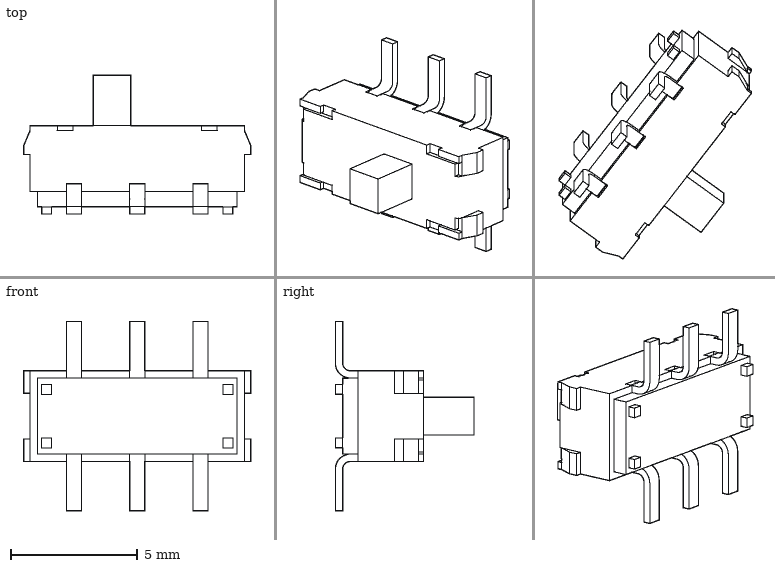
import cadquery as cq
import math


shell_width = 8.5
shell_height = 3.6
shell_depth = 2.61
plate_thickness = 0.3

front_thickness = 0.2
fold_height = 30.2
window_width = 6.32
fold_width = 5.07
front_gap = 0.08
front_height = shell_height - 2 * plate_thickness - 2 * front_gap

overall_width = 9.0
tab_height = 0.9
tab_ramp_end = 0.8
tab_depth = 1.15
end_height = shell_height - 2 * tab_height

base_width = shell_width - 2 * plate_thickness
base_height = shell_height - 2 * plate_thickness
base_depth = 3.21
overall_depth = 3.5
peg_size = 0.4
peg_spacing_x = 7.16
peg_spacing_z = 2.12

terminal_width = 0.6
terminal_thickness = plate_thickness
terminal_pitch = 2.5
terminal_span = 7.5
bend_inner_radius = 0.3
bend_outer_radius = bend_inner_radius + terminal_thickness
notch_depth = 0.32

knob_size = 1.5
knob_length = 2.0
knob_offset = -1.0


def block(width, height, y_back, y_front, x=0, z=0):
    """Box centred on (x, z), reaching from y_back to y_front."""
    depth = y_front - y_back
    return cq.Workplane("XY").box(width, depth, height).translate((x, (y_back + y_front) / 2, z))


def shell_body():
    return block(shell_width, shell_height, -shell_depth, -front_thickness)


def snap_tabs():
    """Ramped wings that stick out of both ends, next to the top and bottom plates."""
    half_shell = shell_width / 2
    half_overall = overall_width / 2
    wings = (
        cq.Workplane("XY")
        .moveTo(-half_shell, -front_thickness)
        .lineTo(half_shell, -front_thickness)
        .lineTo(half_overall, -tab_ramp_end)
        .lineTo(half_overall, -tab_depth)
        .lineTo(-half_overall, -tab_depth)
        .lineTo(-half_overall, -tab_ramp_end)
        .close()
        .extrude(shell_height / 2, both=True)
    )
    middle = block(overall_width, end_height, -tab_depth, -front_thickness)
    return wings.cut(middle)


def front_face():
    """Front sheet folded from the end walls and from the top and bottom plates."""
    end_folds = block(shell_width, end_height, -tab_depth, 0)
    end_folds = end_folds.edges("|Z and >Y").fillet(front_thickness)
    sheet = block(shell_width - 2 * front_thickness, front_height, -front_thickness, 0)
    plate_folds = block(fold_width, shell_height, -front_thickness, 0)
    corner_width = (shell_width - window_width) / 2
    face = end_folds.union(sheet).union(plate_folds)
    for side_x in (-1, 1):
        for side_z in (-1, 1):
            x = side_x * (shell_width - corner_width) / 2
            z = side_z * (shell_height - plate_thickness) / 2
            face = face.union(block(corner_width, plate_thickness, -front_thickness, 0, x, z))
    return face


def base():
    """Base block with a locating peg near each corner."""
    body = block(base_width, base_height, -base_depth, -shell_depth)
    for side_x in (-1, 1):
        for side_z in (-1, 1):
            x = side_x * peg_spacing_x / 2
            z = side_z * peg_spacing_z / 2
            body = body.union(block(peg_size, peg_size, -overall_depth, -base_depth, x, z))
    return body


def terminal(x):
    """Upper terminal: rounded root in the shell notch, then a bend up into the leg."""
    root_z = shell_height / 2 - terminal_thickness
    top_z = shell_height / 2
    root_radius = terminal_thickness
    tip_z = terminal_span / 2
    leg_front = -overall_depth + terminal_thickness
    bend_y = leg_front + bend_inner_radius
    bend_z = top_z + bend_inner_radius
    diagonal = math.sqrt(0.5)
    return (
        cq.Workplane("YZ")
        .moveTo(-shell_depth + root_radius, root_z)
        .threePointArc(
            (-shell_depth + root_radius * diagonal, root_z + root_radius * diagonal),
            (-shell_depth, top_z),
        )
        .lineTo(bend_y, top_z)
        .threePointArc(
            (bend_y - bend_inner_radius * diagonal, bend_z - bend_inner_radius * diagonal),
            (leg_front, bend_z),
        )
        .lineTo(leg_front, tip_z)
        .lineTo(-overall_depth, tip_z)
        .lineTo(-overall_depth, bend_z)
        .threePointArc(
            (bend_y - bend_outer_radius * diagonal, bend_z - bend_outer_radius * diagonal),
            (bend_y, root_z),
        )
        .close()
        .extrude(terminal_width / 2, both=True)
        .translate((x, 0, 0))
    )


def terminal_notch(x):
    """Opening in the edge of the top plate around a terminal root."""
    z = (shell_height - plate_thickness) / 2
    return block(terminal_width, plate_thickness, -shell_depth, -shell_depth + notch_depth, x, z)


knob = block(knob_size, knob_size, 0, knob_length, knob_offset)

switch = shell_body().union(snap_tabs()).union(front_face()).union(base()).union(knob)
for column in (-1, 0, 1):
    column_x = column * terminal_pitch
    notch = terminal_notch(column_x)
    pin = terminal(column_x)
    switch = switch.cut(notch).cut(notch.mirror("XY"))
    switch = switch.union(pin).union(pin.mirror("XY"))

result = switch